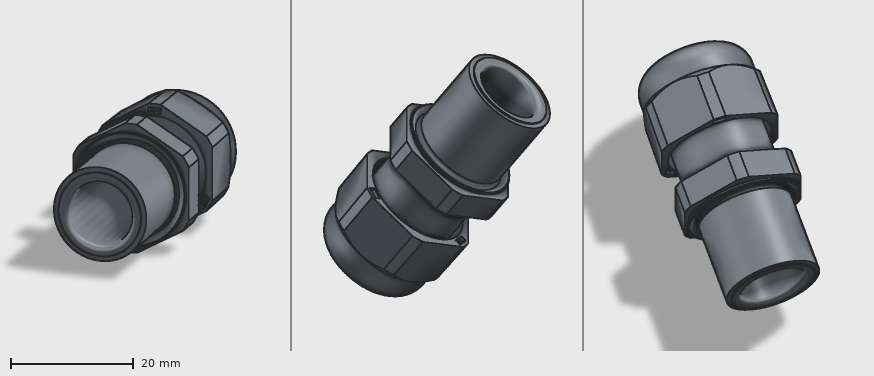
import cadquery as cq
import math


TOTAL_LENGTH = 42.4
HEX_FLATS = 20.0
HEX_CORNERS = 22.0
CORNER_RADIUS = HEX_CORNERS / 2
HEX_SIDES = 6
THREAD_RADIUS = 8.0

PILOT_RADIUS = 7.12
PILOT_LENGTH = 0.25
THREAD_END = 14.0
FLANGE_BOTTOM = 15.25
FLANGE_TOP = 20.0
NECK_FILLET = 0.75
LIP_RADIUS = 9.8
LIP_BOTTOM = 14.37
LIP_RIM_HEIGHT = 0.2
LIP_ROOT_RADIUS = 9.1
LIP_EDGE_OUTER = 9.65
LIP_EDGE_INNER = 9.55
DISH_BEVEL_RADIUS = 9.33
DISH_BEVEL_HEIGHT = 0.1
DISH_FLOOR_RADIUS = 8.45
DISH_DEPTH = 0.68
BORE_RADIUS = 5.43
BORE_END_RADIUS = 5.25
BORE_FILLET = 0.95

NUT_BOTTOM = 26.75
NUT_SHOULDER = 36.25
NUT_DRAFT = 1.0
CHAMFER_HEIGHT = 1.15
CAP_RADIUS = 9.75
DOME_RADIUS = 4.05
CABLE_HOLE_RADIUS = 5.1
ENTRY_RADIUS = 8.9
SLOT_COUNT = HEX_SIDES // 2
SLOT_WIDTH = 2.25
SLOT_HEIGHT = 1.0
SLOT_DEPTH = 1.0
SLOT_CENTRE_RADIUS = 9.85


def across_plane(y):
    """Plane square to the gland axis: local x is +Z, local y is +X, normal is +Y."""
    return cq.Workplane(cq.Plane(origin=(0, y, 0), xDir=(0, 0, 1), normal=(0, 1, 0)))


def turned(profile):
    """Revolve a closed (radius, Y) profile around the gland axis."""
    return profile.close().revolve(360, (0, 0, 0), (0, 1, 0))


def cylinder(radius, y_start, y_end):
    return across_plane(y_start).circle(radius).extrude(y_end - y_start)


def hexagon(y_start, y_end, draft=0):
    """Sharp hexagon prism with corners at +Z and -Z."""
    corner_diameter = HEX_FLATS / math.cos(math.pi / HEX_SIDES)
    return across_plane(y_start).polygon(HEX_SIDES, corner_diameter).extrude(y_end - y_start, taper=draft)


def arc_middle(centre, radius, degrees):
    """Point on a circle at the given angle, counted from the outward direction towards +Y."""
    angle = math.radians(degrees)
    return (centre[0] + radius * math.cos(angle), centre[1] + radius * math.sin(angle))


def make_stem():
    """Threaded tube on both sides of the flange, with filleted roots."""
    neck_root = PILOT_RADIUS + NECK_FILLET
    dish_floor = LIP_BOTTOM + DISH_DEPTH
    neck_centre = (neck_root, dish_floor - NECK_FILLET)
    thread_root = THREAD_RADIUS + NECK_FILLET
    thread_centre = (thread_root, FLANGE_TOP + NECK_FILLET)
    return turned(
        cq.Workplane("XY")
        .moveTo(0, 0)
        .lineTo(PILOT_RADIUS, 0)
        .lineTo(PILOT_RADIUS, PILOT_LENGTH)
        .lineTo(THREAD_RADIUS, PILOT_LENGTH)
        .lineTo(THREAD_RADIUS, THREAD_END)
        .lineTo(PILOT_RADIUS, THREAD_END)
        .lineTo(PILOT_RADIUS, dish_floor - NECK_FILLET)
        .threePointArc(arc_middle(neck_centre, NECK_FILLET, 135), (neck_root, dish_floor))
        .lineTo(DISH_FLOOR_RADIUS, dish_floor)
        .lineTo(DISH_FLOOR_RADIUS, FLANGE_TOP)
        .lineTo(thread_root, FLANGE_TOP)
        .threePointArc(
            arc_middle(thread_centre, NECK_FILLET, 225),
            (THREAD_RADIUS, FLANGE_TOP + NECK_FILLET),
        )
        .lineTo(THREAD_RADIUS, NUT_SHOULDER)
        .lineTo(0, NUT_SHOULDER)
    )


def make_flange():
    """Hexagon with its corners turned round."""
    rounding = cylinder(CORNER_RADIUS, FLANGE_BOTTOM, FLANGE_TOP)
    return hexagon(FLANGE_BOTTOM, FLANGE_TOP).intersect(rounding)


def make_sealing_lip():
    """Flared ring under the flange, dished on the inside."""
    return turned(
        cq.Workplane("XY")
        .moveTo(DISH_FLOOR_RADIUS, LIP_BOTTOM + DISH_DEPTH)
        .lineTo(DISH_BEVEL_RADIUS, LIP_BOTTOM + DISH_BEVEL_HEIGHT)
        .lineTo(LIP_EDGE_INNER, LIP_BOTTOM)
        .lineTo(LIP_EDGE_OUTER, LIP_BOTTOM)
        .lineTo(LIP_RADIUS, LIP_BOTTOM + LIP_RIM_HEIGHT)
        .lineTo(LIP_ROOT_RADIUS, FLANGE_BOTTOM)
        .lineTo(DISH_FLOOR_RADIUS, FLANGE_BOTTOM)
    )


def make_bore():
    """Slightly tapered through bore with a rounded mouth at the threaded end."""
    mouth_radius = BORE_RADIUS + BORE_FILLET
    fillet_centre = (mouth_radius, BORE_FILLET)
    return turned(
        cq.Workplane("XY")
        .moveTo(0, 0)
        .lineTo(mouth_radius, 0)
        .threePointArc(arc_middle(fillet_centre, BORE_FILLET, 225), (BORE_RADIUS, BORE_FILLET))
        .lineTo(BORE_END_RADIUS, NUT_SHOULDER)
        .lineTo(0, NUT_SHOULDER)
    )


def make_gland_body():
    return make_stem().union(make_flange()).union(make_sealing_lip()).cut(make_bore())


def make_nut_hexagon():
    """Drafted hexagon with drafted round corners and a chamfered upper end."""
    chamfer_start = NUT_SHOULDER - CHAMFER_HEIGHT
    draft_inset = (chamfer_start - NUT_BOTTOM) * math.tan(math.radians(NUT_DRAFT))
    rounding = turned(
        cq.Workplane("XY")
        .moveTo(0, NUT_BOTTOM)
        .lineTo(CORNER_RADIUS, NUT_BOTTOM)
        .lineTo(CORNER_RADIUS - draft_inset, chamfer_start)
        .lineTo(CAP_RADIUS, NUT_SHOULDER)
        .lineTo(0, NUT_SHOULDER)
    )
    return hexagon(NUT_BOTTOM, NUT_SHOULDER, NUT_DRAFT).intersect(rounding)


def make_dome():
    """Round cap with a quarter-round outer edge."""
    return cylinder(CAP_RADIUS, NUT_SHOULDER, TOTAL_LENGTH).faces(">Y").edges().fillet(DOME_RADIUS)


def make_corner_slots():
    """Shallow rectangular pockets in the open face of the nut."""
    return (
        across_plane(NUT_BOTTOM)
        .polarArray(SLOT_CENTRE_RADIUS, 0, 360, SLOT_COUNT)
        .rect(SLOT_HEIGHT, SLOT_WIDTH)
        .extrude(SLOT_DEPTH)
    )


def make_cap_nut():
    """Hollow nut whose inner end face rests on the end of the gland body."""
    entry = cylinder(ENTRY_RADIUS, NUT_BOTTOM, NUT_SHOULDER)
    cable_hole = cylinder(CABLE_HOLE_RADIUS, NUT_SHOULDER, TOTAL_LENGTH)
    nut = make_nut_hexagon().union(make_dome())
    return nut.cut(entry).cut(cable_hole).cut(make_corner_slots())


gland_body = make_gland_body()
cap_nut = make_cap_nut()

result = cq.Compound.makeCompound([gland_body.val(), cap_nut.val()])